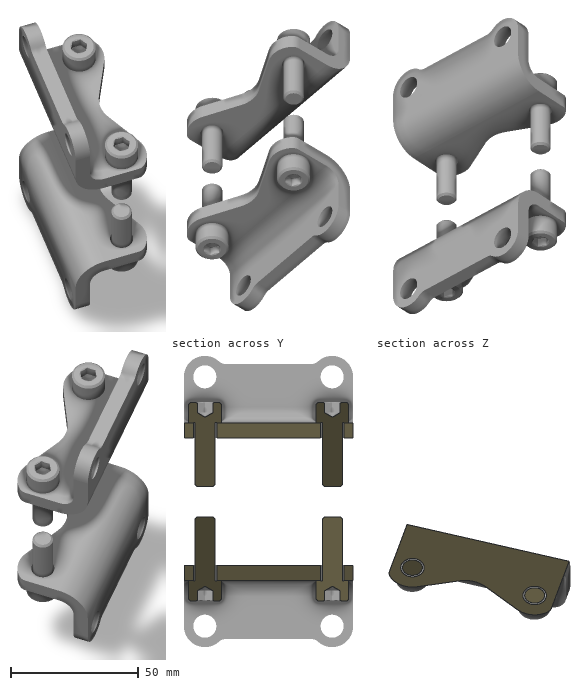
import cadquery as cq
import math

WIDTH = 66.5
DEPTH = 32.0
HEIGHT = 114.4
HOLE_SPACING = 50.0

THICKNESS = 6.1
BRACKET_HEIGHT = 32.3
BEND_OUTER_RADIUS = 12.0
BEND_INNER_RADIUS = BEND_OUTER_RADIUS - THICKNESS
HOLE_DIAMETER = 9.0

EAR_RADIUS = (WIDTH - HOLE_SPACING) / 2
EAR_STEP = 3.2
EAR_BLEND_RADIUS = 4.0

LOBE_RADIUS = 10.0
LOBE_CORNER_RADIUS = 4.0
NOTCH_ANGLE = math.atan(1 / 2)
NOTCH_BLEND_RADIUS = 12.0

SHANK_DIAMETER = 8.0
SHANK_LENGTH = 25.1
TIP_CHAMFER = 0.8
HEAD_DIAMETER = 13.0
HEAD_HEIGHT = 8.0
HEAD_CHAMFER = 0.8
SOCKET_SIDES = 6
SOCKET_FLATS = 6.0
SOCKET_TURN = 30
SOCKET_DEPTH = 4.0
SOCKET_MOUTH_DIAMETER = 7.0
SOCKET_CONE_HALF_ANGLE = math.radians(60)

TOP_Z = HEIGHT / 2
FLANGE_BOTTOM_Z = TOP_Z - BRACKET_HEIGHT
FLANGE_TOP_Z = FLANGE_BOTTOM_Z + THICKNESS
FRONT_Y = -DEPTH / 2
BACK_Y = DEPTH / 2
EAR_CENTER_Z = TOP_Z - EAR_RADIUS
SCREW_Y = BACK_Y - LOBE_RADIUS
HOLE_XS = (-HOLE_SPACING / 2, HOLE_SPACING / 2)


def mirror_x(point):
    return (-point[0], point[1])


def point_from(center, radius, angle):
    """Point on a circle, with the angle measured from the second axis toward the first."""
    return (center[0] + radius * math.sin(angle), center[1] + radius * math.cos(angle))


def angle_section():
    """Bent sheet across the full width, before its flanges are trimmed."""
    outside = (
        cq.Workplane("XY")
        .box(WIDTH, DEPTH, BRACKET_HEIGHT)
        .edges("|X and <Y and <Z")
        .fillet(BEND_OUTER_RADIUS)
        .translate((0, 0, FLANGE_BOTTOM_Z + BRACKET_HEIGHT / 2))
    )
    inside = (
        cq.Workplane("XY")
        .box(WIDTH, DEPTH, BRACKET_HEIGHT)
        .edges("|X and <Y and <Z")
        .fillet(BEND_INNER_RADIUS)
        .translate((0, THICKNESS, FLANGE_TOP_Z + BRACKET_HEIGHT / 2))
    )
    return outside.cut(inside)


def upright_outline():
    """Eared outline of the upright flange, in X and Z."""
    center = (HOLE_XS[1], EAR_CENTER_Z)
    edge_z = TOP_Z - EAR_STEP
    blend_z = edge_z + EAR_BLEND_RADIUS
    lean = math.acos((blend_z - EAR_CENTER_Z) / (EAR_RADIUS + EAR_BLEND_RADIUS))
    blend_center = point_from(center, EAR_RADIUS + EAR_BLEND_RADIUS, -lean)
    side = (WIDTH / 2, EAR_CENTER_Z)
    crown = (center[0], TOP_Z)
    ear_end = point_from(center, EAR_RADIUS, -lean)
    blend_middle = point_from(blend_center, EAR_BLEND_RADIUS, math.pi - lean / 2)
    blend_end = (blend_center[0], edge_z)
    return (
        cq.Workplane("XZ")
        .moveTo(WIDTH / 2, FLANGE_BOTTOM_Z)
        .lineTo(*side)
        .threePointArc(crown, ear_end)
        .threePointArc(blend_middle, blend_end)
        .lineTo(*mirror_x(blend_end))
        .threePointArc(mirror_x(blend_middle), mirror_x(ear_end))
        .threePointArc(mirror_x(crown), mirror_x(side))
        .lineTo(-WIDTH / 2, FLANGE_BOTTOM_Z)
        .close()
    )


def flat_outline():
    """Two-lobed outline of the flat flange, in X and Y."""
    center = (HOLE_XS[1], SCREW_Y)
    corner_x = WIDTH / 2 - LOBE_CORNER_RADIUS
    corner_reach = LOBE_RADIUS - LOBE_CORNER_RADIUS
    corner_lean = math.asin((corner_x - center[0]) / corner_reach)
    corner_center = point_from(center, corner_reach, corner_lean)
    side = (WIDTH / 2, corner_center[1])
    corner_middle = point_from(corner_center, LOBE_CORNER_RADIUS, (corner_lean + math.pi / 2) / 2)
    lobe_start = point_from(center, LOBE_RADIUS, corner_lean)
    crown = (center[0], BACK_Y)
    lobe_end = point_from(center, LOBE_RADIUS, -NOTCH_ANGLE)
    notch_half_width = NOTCH_BLEND_RADIUS * math.sin(NOTCH_ANGLE)
    notch_end_y = lobe_end[1] - (lobe_end[0] - notch_half_width) * math.tan(NOTCH_ANGLE)
    notch_end = (notch_half_width, notch_end_y)
    notch_bottom = (0, notch_end_y - NOTCH_BLEND_RADIUS * (1 - math.cos(NOTCH_ANGLE)))
    return (
        cq.Workplane("XY")
        .moveTo(WIDTH / 2, FRONT_Y)
        .lineTo(*side)
        .threePointArc(corner_middle, lobe_start)
        .threePointArc(crown, lobe_end)
        .lineTo(*notch_end)
        .threePointArc(notch_bottom, mirror_x(notch_end))
        .lineTo(*mirror_x(lobe_end))
        .threePointArc(mirror_x(crown), mirror_x(lobe_start))
        .threePointArc(mirror_x(corner_middle), mirror_x(side))
        .lineTo(-WIDTH / 2, FRONT_Y)
        .close()
    )


def make_bracket():
    """Upper bracket: bent sheet trimmed by both flange outlines, then drilled."""
    bracket = angle_section()
    bracket = bracket.intersect(upright_outline().extrude(DEPTH / 2, both=True))
    bracket = bracket.intersect(flat_outline().extrude(TOP_Z))
    mounting_holes = (
        cq.Workplane("XZ", origin=(0, FRONT_Y, 0))
        .pushPoints([(x, EAR_CENTER_Z) for x in HOLE_XS])
        .circle(HOLE_DIAMETER / 2)
        .extrude(-THICKNESS)
    )
    screw_holes = (
        cq.Workplane("XY", origin=(0, 0, FLANGE_BOTTOM_Z))
        .pushPoints([(x, SCREW_Y) for x in HOLE_XS])
        .circle(HOLE_DIAMETER / 2)
        .extrude(THICKNESS)
    )
    return bracket.cut(mounting_holes).cut(screw_holes)


def cone_down(diameter, z):
    """Cone with its base at height z and its apex below."""
    depth = diameter / 2 / math.tan(SOCKET_CONE_HALF_ANGLE)
    return (
        cq.Workplane("XZ")
        .moveTo(0, z)
        .lineTo(diameter / 2, z)
        .lineTo(0, z - depth)
        .close()
        .revolve(360, (0, 0, 0), (0, 1, 0))
    )


def make_screw():
    """Socket head screw, head up, with the underside of its head at the origin."""
    head = (
        cq.Workplane("XY")
        .circle(HEAD_DIAMETER / 2)
        .extrude(HEAD_HEIGHT)
        .faces(">Z")
        .chamfer(HEAD_CHAMFER)
    )
    shank = (
        cq.Workplane("XY")
        .circle(SHANK_DIAMETER / 2)
        .extrude(-SHANK_LENGTH)
        .faces("<Z")
        .chamfer(TIP_CHAMFER)
    )
    socket_corners = SOCKET_FLATS / math.cos(math.pi / SOCKET_SIDES)
    hexagon = (
        cq.Workplane("XY", origin=(0, 0, HEAD_HEIGHT))
        .transformed(rotate=(0, 0, SOCKET_TURN))
        .polygon(SOCKET_SIDES, socket_corners)
        .extrude(-SOCKET_DEPTH)
    )
    mouth = cone_down(SOCKET_MOUTH_DIAMETER, HEAD_HEIGHT)
    bottom = cone_down(SOCKET_FLATS, HEAD_HEIGHT - SOCKET_DEPTH)
    return head.union(shank).cut(hexagon).cut(mouth).cut(bottom)


upper_bracket = make_bracket()
lower_bracket = upper_bracket.mirror("XY")

screws = []
for screw_x in HOLE_XS:
    upper_screw = make_screw().translate((screw_x, SCREW_Y, FLANGE_TOP_Z))
    lower_screw = upper_screw.mirror("XY")
    screws += [upper_screw.val(), lower_screw.val()]

result = cq.Compound.makeCompound([upper_bracket.val(), lower_bracket.val(), *screws])